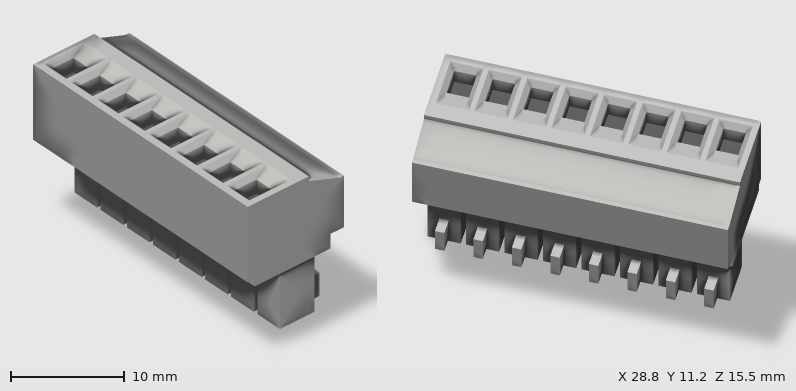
import cadquery as cq


LENGTH = 28.8
DEPTH = 11.17
HEIGHT = 15.5

POLE_COUNT = 8
POLE_WIDTH = 3.02
FIRST_POLE_CENTRE = 2.07
LAST_POLE_CENTRE = 26.6
POLE_PITCH = (LAST_POLE_CENTRE - FIRST_POLE_CENTRE) / (POLE_COUNT - 1)

BODY_BOTTOM = 6.57
DECK_DEPTH = 7.1
DECK_STEP = 0.52
BACK_LEDGE_WIDTH = 0.5
BACK_LEDGE_DROP = 1.8
FRONT_NOTCH_DEPTH = 0.8
FRONT_NOTCH_HEIGHT = 0.8
BACK_NOTCH_DEPTH = 1.55
BACK_NOTCH_HEIGHT = 1.58

FUNNEL_FRONT = 0.75
FUNNEL_BACK = 5.6
FUNNEL_DEPTH = 0.52
WELL_FRONT = 1.27
WELL_BACK = 3.8
WELL_WIDTH = 2.05
WELL_DEPTH = 1.53

PRONG_FRONT = 4.32
PRONG_BACK = 8.38
KEY_WIDTH = 0.85
KEY_PROJECTION = 1.5
KEY_BOTTOM = 0.43
KEY_TOP = 2.97


def block(centre_x, width, front, back, bottom, top):
    """Box centred on centre_x, given by its limits in Y and Z."""
    size = (width, back - front, top - bottom)
    return cq.Workplane("XY").box(*size, centered=(True, False, False)).translate((centre_x, front, bottom))


def body():
    """Stepped side profile extruded along the whole row."""
    back_ledge_height = HEIGHT - BACK_LEDGE_DROP
    front_notch_top = BODY_BOTTOM + FRONT_NOTCH_HEIGHT
    back_notch_top = BODY_BOTTOM + BACK_NOTCH_HEIGHT
    profile = [
        (0, HEIGHT),
        (DECK_DEPTH, HEIGHT),
        (DECK_DEPTH, HEIGHT - DECK_STEP),
        (DEPTH - BACK_LEDGE_WIDTH, back_ledge_height),
        (DEPTH, back_ledge_height),
        (DEPTH, back_notch_top),
        (DEPTH - BACK_NOTCH_DEPTH, back_notch_top),
        (DEPTH - BACK_NOTCH_DEPTH, BODY_BOTTOM),
        (FRONT_NOTCH_DEPTH, BODY_BOTTOM),
        (FRONT_NOTCH_DEPTH, front_notch_top),
        (0, front_notch_top),
    ]
    return cq.Workplane("YZ").polyline(profile).close().extrude(LENGTH)


def wire_entry(centre_x):
    """Cutter for one wire entry, sunk into the top deck."""
    funnel_bottom = HEIGHT - FUNNEL_DEPTH
    funnel_centre = (FUNNEL_FRONT + FUNNEL_BACK) / 2
    well_centre = (WELL_FRONT + WELL_BACK) / 2
    funnel = (
        cq.Workplane("XY", origin=(centre_x, funnel_centre, HEIGHT))
        .rect(POLE_WIDTH, FUNNEL_BACK - FUNNEL_FRONT)
        .workplane(offset=-FUNNEL_DEPTH)
        .center(0, well_centre - funnel_centre)
        .rect(WELL_WIDTH, WELL_BACK - WELL_FRONT)
        .loft(ruled=True)
    )
    well = block(centre_x, WELL_WIDTH, WELL_FRONT, WELL_BACK, funnel_bottom - WELL_DEPTH, funnel_bottom)
    return funnel.union(well)


def prong(centre_x):
    """One plug prong with a narrow key low on its back face."""
    post = block(centre_x, POLE_WIDTH, PRONG_FRONT, PRONG_BACK, 0, BODY_BOTTOM)
    key = block(centre_x, KEY_WIDTH, PRONG_BACK, PRONG_BACK + KEY_PROJECTION, KEY_BOTTOM, KEY_TOP)
    return post.union(key)


result = body()
for pole in range(POLE_COUNT):
    pole_x = FIRST_POLE_CENTRE + pole * POLE_PITCH
    result = result.cut(wire_entry(pole_x)).union(prong(pole_x))